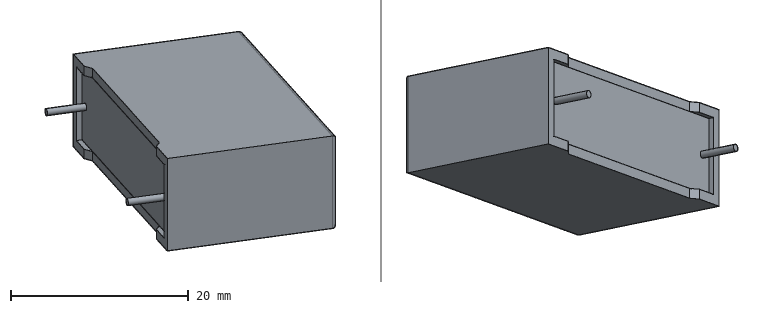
import cadquery as cq


case_width = 32.0
case_height = 11.3
overall_depth = 24.2
pin_projection = 4.0
case_depth = overall_depth - pin_projection
back_fillet = 0.5

side_wall = 1.05
top_wall = 1.15
back_wall = side_wall
cavity_width = case_width - 2 * side_wall
cavity_height = case_height - 2 * top_wall

relief_depth = 0.67
relief_mouth_inset = 3.7
relief_floor_inset = 4.67
relief_mouth_half = case_width / 2 - relief_mouth_inset
relief_floor_half = case_width / 2 - relief_floor_inset

fill_recess = relief_depth
fill_depth = case_depth - back_wall - fill_recess

pin_diameter = 0.83
pin_pitch = 27.52
pin_length = pin_projection + fill_recess


def block(width, depth, height, front_y):
    """Box centred on X and Z that runs from front_y toward +Y."""
    return cq.Workplane("XY").box(width, depth, height, centered=(True, False, True)).translate((0, front_y, 0))


def make_rim_relief():
    """Trapezoid cutter that passes through the case along Z."""
    outline = [
        (-relief_mouth_half, 0),
        (-relief_floor_half, relief_depth),
        (relief_floor_half, relief_depth),
        (relief_mouth_half, 0),
    ]
    return cq.Workplane("XY").polyline(outline).close().extrude(case_height / 2, both=True)


def make_case():
    """Box with a rounded back, hollowed from the rim."""
    shell = block(case_width, case_depth, case_height, 0).faces(">Y").edges().fillet(back_fillet)
    cavity = block(cavity_width, case_depth - back_wall, cavity_height, 0)
    return shell.cut(cavity).cut(make_rim_relief())


def make_filling():
    """Block that fills the cavity behind the recess."""
    return block(cavity_width, fill_depth, cavity_height, fill_recess)


def make_pin(x):
    """Round pin that stands on the front face of the filling."""
    return cq.Workplane("XZ", origin=(x, fill_recess, 0)).circle(pin_diameter / 2).extrude(pin_length)


case = make_case()
filling = make_filling()
pins = [make_pin(side * pin_pitch / 2) for side in (-1, 1)]

result = cq.Compound.makeCompound([case.val(), filling.val(), *[pin.val() for pin in pins]])